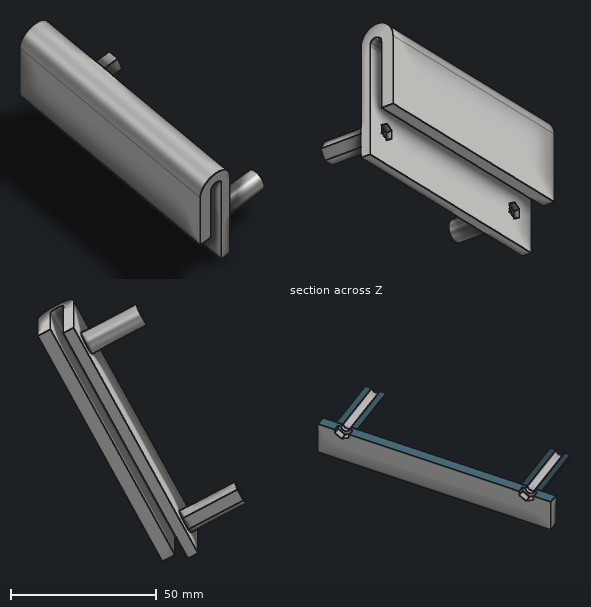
import cadquery as cq

plate_length = 90.0
plate_height = 50.0
back_wall = 4.0
slot_width = 5.0
front_wall = 5.0
hook_depth = front_wall + slot_width + back_wall
bend_radius = hook_depth / 2
bend_z = plate_height - bend_radius
slot_radius = slot_width / 2
slot_top_z = 44.7
lip_bottom_z = 16.5
slot_front_y = front_wall
slot_back_y = slot_front_y + slot_width

post_length = 21.5
hex_post_x = 9.4
hex_post_z = 12.84
hex_post_corner_diameter = 8.66
round_post_x = 80.5
round_post_z = 12.6
round_post_diameter = 8.05
round_post_rise = 0.75

screw_diameter = 3.15
nut_corner_diameter = 6.35
nut_pocket_depth = 2.5


def along_y(x, y, z):
    """Workplane looking along +Y: local X is +X and local Y is -Z."""
    return cq.Workplane(cq.Plane(origin=(x, y, z), xDir=(1, 0, 0), normal=(0, 1, 0)))


def screw_hole(x, z):
    """Cutter for a screw hole through the back wall and the post behind it."""
    return along_y(x, slot_back_y, z).circle(screw_diameter / 2).extrude(back_wall + post_length)


def nut_pocket(x, z):
    """Cutter for a nut pocket with corners pointing up and down."""
    pocket = along_y(x, slot_back_y, z).transformed(rotate=(0, 0, 90))
    return pocket.polygon(6, nut_corner_diameter).extrude(nut_pocket_depth)


def make_plate():
    slot_arc_z = slot_top_z - slot_radius
    plate = (
        cq.Workplane("YZ")
        .moveTo(0, lip_bottom_z)
        .lineTo(0, bend_z)
        .threePointArc((bend_radius, plate_height), (hook_depth, bend_z))
        .lineTo(hook_depth, 0)
        .lineTo(slot_back_y, 0)
        .lineTo(slot_back_y, slot_arc_z)
        .threePointArc((slot_front_y + slot_radius, slot_top_z), (slot_front_y, slot_arc_z))
        .lineTo(slot_front_y, lip_bottom_z)
        .close()
        .extrude(plate_length)
    )
    for x, z in ((hex_post_x, hex_post_z), (round_post_x, round_post_z)):
        plate = plate.cut(nut_pocket(x, z)).cut(screw_hole(x, z))
    return plate


def make_hex_post():
    """Hexagonal post with flats on top and bottom."""
    post = along_y(hex_post_x, hook_depth, hex_post_z).polygon(6, hex_post_corner_diameter)
    return post.extrude(post_length).cut(screw_hole(hex_post_x, hex_post_z))


def make_round_post():
    """Round post, slightly taller than wide; its screw hole is centred on the lower arc."""
    post_height = round_post_diameter + round_post_rise
    post = along_y(round_post_x, hook_depth, round_post_z + round_post_rise / 2)
    post = post.slot2D(post_height, round_post_diameter, 90).extrude(post_length)
    return post.cut(screw_hole(round_post_x, round_post_z))


plate = make_plate()
hex_post = make_hex_post()
round_post = make_round_post()

result = cq.Compound.makeCompound([plate.val(), hex_post.val(), round_post.val()])